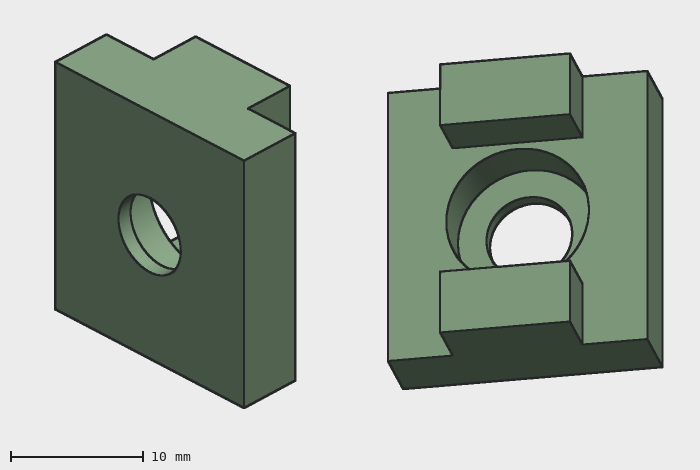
import cadquery as cq

height = 22.0
width = 20.0
depth = 10.0

plate_thickness = 5.5
hole_diameter = 6.6
counterbore_diameter = 11.0
narrow_length = 1.3

lug_width = width / 2
lug_height = 5.0
lug_depth = depth - plate_thickness

plate = cq.Workplane("XY").box(width, plate_thickness, height, centered=(True, False, True))

lug_center_z = (height - lug_height) / 2
lug = cq.Workplane("XY").box(lug_width, lug_depth, lug_height, centered=(True, False, True))
body = plate
for side in (-1, 1):
    body = body.union(lug.translate((0, plate_thickness, side * lug_center_z)))

front = cq.Workplane("XZ")
hole = front.circle(hole_diameter / 2).extrude(-plate_thickness)
counterbore = front.workplane(offset=-narrow_length).circle(counterbore_diameter / 2)
counterbore = counterbore.extrude(narrow_length - plate_thickness)
result = body.cut(hole).cut(counterbore)